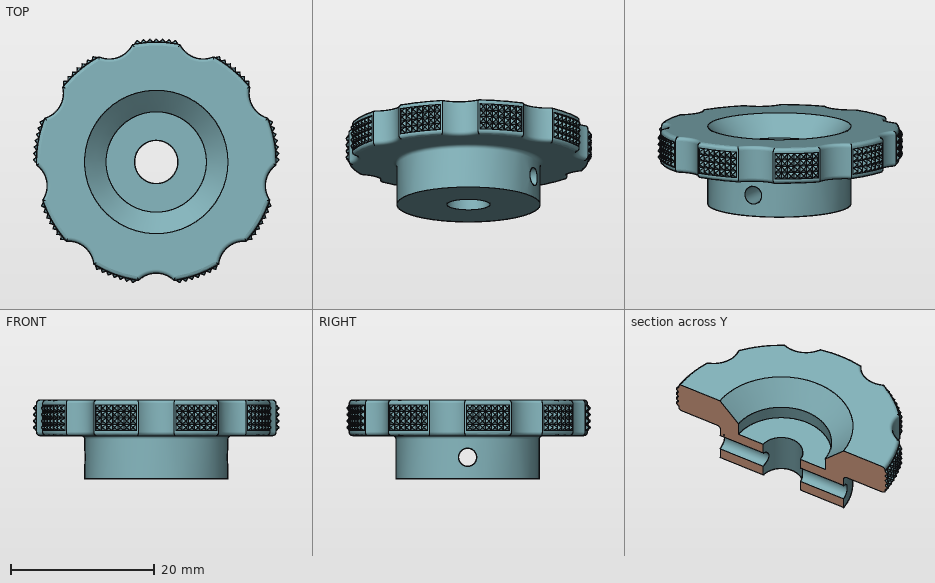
import cadquery as cq
import math

hub_height = 6.0
rim_thickness = 5.0
total_height = hub_height + rim_thickness
rim_mid_height = hub_height + rim_thickness / 2

hub_diameter = 20.0
bore_diameter = 6.0
recess_diameter = 14.0
recess_mouth_diameter = 20.0
recess_depth = 5.0
cone_depth = (recess_mouth_diameter - recess_diameter) / 2
cross_hole_diameter = 2.5
cross_hole_height = hub_height / 2

rim_radius = 16.7
lobe_count = 9
lobe_pitch = 360 / lobe_count
first_lobe_angle = 90.0
scallop_radius = 3.6
scallop_floor_radius = 15.52
scallop_center_radius = scallop_floor_radius + scallop_radius
edge_fillet = 0.5

tooth_tip_radius = 17.148
pad_step = 0.02
tooth_valley_radius = rim_radius + pad_step
tooth_columns = 7
tooth_rows = 4
tooth_angle = 3.0
tooth_row_pitch = 0.9
pad_embedment = 1.0
pad_root_radius = rim_radius - pad_embedment


def polar_point(radius, angle):
    """Point in the XY plane at a radius and an angle in degrees."""
    return (radius * math.cos(math.radians(angle)), radius * math.sin(math.radians(angle)))


def make_rim():
    """Disc with scallops midway between the lobes and rounded top and bottom edges."""
    scallops = (
        cq.Workplane("XY")
        .workplane(offset=hub_height)
        .polarArray(scallop_center_radius, first_lobe_angle + lobe_pitch / 2, 360, lobe_count)
        .circle(scallop_radius)
        .extrude(rim_thickness)
    )
    disc = cq.Workplane("XY").workplane(offset=hub_height).circle(rim_radius).extrude(rim_thickness)
    return disc.cut(scallops).faces("<Z or >Z").edges().fillet(edge_fillet)


def make_body():
    """Rim joined to the hub, with a fillet in the corner between them."""
    hub = cq.Workplane("XY").circle(hub_diameter / 2).extrude(hub_height)
    flare_radius = hub_diameter / 2 + edge_fillet
    flare = (
        cq.Workplane("XZ")
        .moveTo(0, hub_height - edge_fillet)
        .lineTo(hub_diameter / 2, hub_height - edge_fillet)
        .radiusArc((flare_radius, hub_height), edge_fillet)
        .lineTo(0, hub_height)
        .close()
        .revolve(360, (0, 0), (0, 1))
    )
    return make_rim().union(hub).union(flare)


def make_bores():
    """Bore through the axis and the stepped recess that opens to the top with a cone."""
    return (
        cq.Workplane("XZ")
        .lineTo(bore_diameter / 2, 0)
        .lineTo(bore_diameter / 2, total_height - recess_depth)
        .lineTo(recess_diameter / 2, total_height - recess_depth)
        .lineTo(recess_diameter / 2, total_height - cone_depth)
        .lineTo(recess_mouth_diameter / 2, total_height)
        .lineTo(0, total_height)
        .close()
        .revolve(360, (0, 0), (0, 1))
    )


def make_cross_hole():
    """Hole along X through both walls of the hub."""
    return (
        cq.Workplane("YZ")
        .center(0, cross_hole_height)
        .circle(cross_hole_diameter / 2)
        .extrude(hub_diameter / 2, both=True)
    )


def ridge_radius(step):
    """Radius of a ridge outline at each half pitch: valleys on even steps, tips on odd ones."""
    return tooth_tip_radius if step % 2 else tooth_valley_radius


def make_pad():
    """Grid of pyramid teeth around +X: upright ridges intersected with ring-shaped ridges."""
    half_angle = tooth_columns * tooth_angle / 2
    column_points = [polar_point(pad_root_radius, -half_angle)]
    for step in range(2 * tooth_columns + 1):
        angle = -half_angle + step * tooth_angle / 2
        column_points.append(polar_point(ridge_radius(step), angle))
    column_points.append(polar_point(pad_root_radius, half_angle))

    pad_height = tooth_rows * tooth_row_pitch
    pad_bottom = rim_mid_height - pad_height / 2
    row_points = [(hub_diameter / 2, pad_bottom)]
    for step in range(2 * tooth_rows + 1):
        row_points.append((ridge_radius(step), pad_bottom + step * tooth_row_pitch / 2))
    row_points.append((hub_diameter / 2, pad_bottom + pad_height))

    upright_ridges = (
        cq.Workplane("XY").workplane(offset=hub_height).polyline(column_points).close().extrude(rim_thickness)
    )
    ring_ridges = cq.Workplane("XZ").polyline(row_points).close().revolve(360, (0, 0), (0, 1))
    return upright_ridges.intersect(ring_ridges)


def add_pads(body):
    """Place one knurled pad on every lobe."""
    pad = make_pad()
    for lobe in range(lobe_count):
        angle = first_lobe_angle + lobe * lobe_pitch
        body = body.union(pad.rotate((0, 0, 0), (0, 0, 1), angle))
    return body


result = add_pads(make_body().cut(make_bores()).cut(make_cross_hole()))